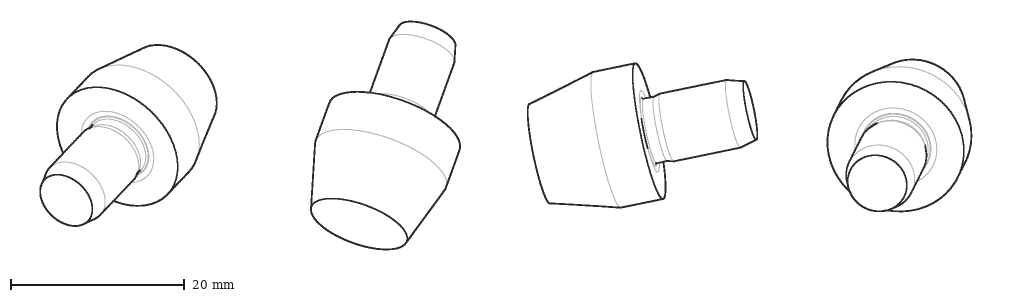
import cadquery as cq
import math


taper = math.tan(math.radians(15))

head_diameter = 16
head_radius = head_diameter / 2
collar_length = 5
head_cone_length = 8
head_length = collar_length + head_cone_length
head_top_radius = head_radius - head_cone_length * taper

shank_diameter = 8
shank_radius = shank_diameter / 2
shank_length = 12
lead_in_length = 2
tip_radius = shank_radius - lead_in_length * taper

neck_diameter = 7.6
neck_radius = neck_diameter / 2
neck_cone_end = 2.1
neck_cone_start = neck_cone_end - (shank_radius - neck_radius) / taper

seat_relief_diameter = 9.6
seat_relief_radius = seat_relief_diameter / 2
seat_relief_depth = 0.1
seat_relief_angle = math.radians(8)
seat_floor_radius = seat_relief_radius - seat_relief_depth / math.tan(seat_relief_angle)

root_fillet = 0.2
fillet_center_radius = neck_radius + root_fillet
fillet_center_y = seat_relief_depth - root_fillet
fillet_middle_offset = root_fillet * math.sin(math.radians(45))
fillet_middle = (
    fillet_center_radius - fillet_middle_offset,
    fillet_center_y + fillet_middle_offset,
)

half_section = (
    cq.Workplane("XY")
    .moveTo(0, head_length)
    .lineTo(head_top_radius, head_length)
    .lineTo(head_radius, collar_length)
    .lineTo(head_radius, 0)
    .lineTo(seat_relief_radius, 0)
    .lineTo(seat_floor_radius, seat_relief_depth)
    .lineTo(fillet_center_radius, seat_relief_depth)
    .threePointArc(fillet_middle, (neck_radius, fillet_center_y))
    .lineTo(neck_radius, -neck_cone_start)
    .lineTo(shank_radius, -neck_cone_end)
    .lineTo(shank_radius, lead_in_length - shank_length)
    .lineTo(tip_radius, -shank_length)
    .lineTo(0, -shank_length)
    .close()
)

result = half_section.revolve(360, (0, 0, 0), (0, 1, 0))